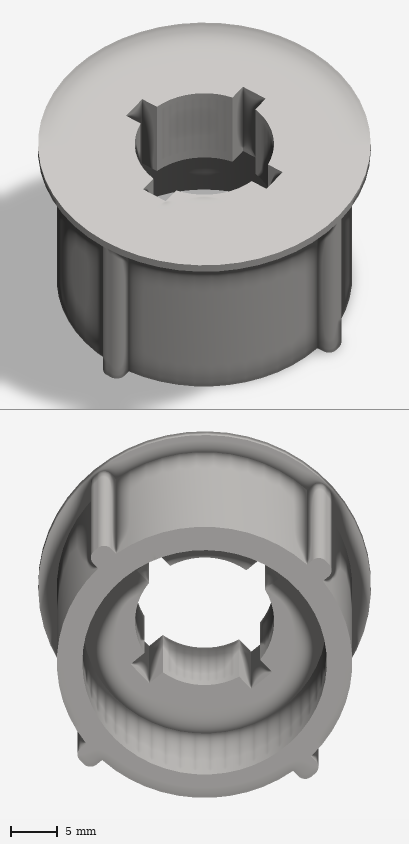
import cadquery as cq

total_height = 21.0
flange_diameter = 35.5
flange_thickness = 1.0
body_diameter = 31.52

bore_diameter = 14.85
web_thickness = 10.0
keyway_span = 18.4
keyway_width = 2.98

cavity_diameter = 26.1

rib_count = 4
rib_width = 2.55
rib_tip_radius = 17.5
rib_edge_radius = 1.0
rib_root_radius = (cavity_diameter + body_diameter) / 4


def cylinder(diameter, bottom, height):
    return cq.Workplane("XY").workplane(offset=bottom).circle(diameter / 2).extrude(height)


def rib(angle):
    """Full-height rib with rounded outer edges, its root buried in the body wall."""
    length = rib_tip_radius - rib_root_radius
    bar = (
        cq.Workplane("XY")
        .center(rib_root_radius + length / 2, 0)
        .rect(length, rib_width)
        .extrude(total_height - flange_thickness)
        .edges("|Z and >X")
        .fillet(rib_edge_radius)
    )
    return bar.rotate((0, 0, 0), (0, 0, 1), angle)


def keyed_bore():
    """Round bore with two crossing bars that form four keyways."""
    web_bottom = total_height - web_thickness
    bore = cylinder(bore_diameter, web_bottom, web_thickness)
    for size_x, size_y in ((keyway_span, keyway_width), (keyway_width, keyway_span)):
        keyway_bar = (
            cq.Workplane("XY")
            .workplane(offset=web_bottom)
            .rect(size_x, size_y)
            .extrude(web_thickness)
        )
        bore = bore.union(keyway_bar)
    return bore


body = cylinder(body_diameter, 0, total_height)
flange = cylinder(flange_diameter, total_height - flange_thickness, flange_thickness)
result = body.union(flange)

for index in range(rib_count):
    result = result.union(rib(index * 360 / rib_count))

result = result.cut(cylinder(cavity_diameter, 0, total_height - web_thickness))
result = result.cut(keyed_bore())